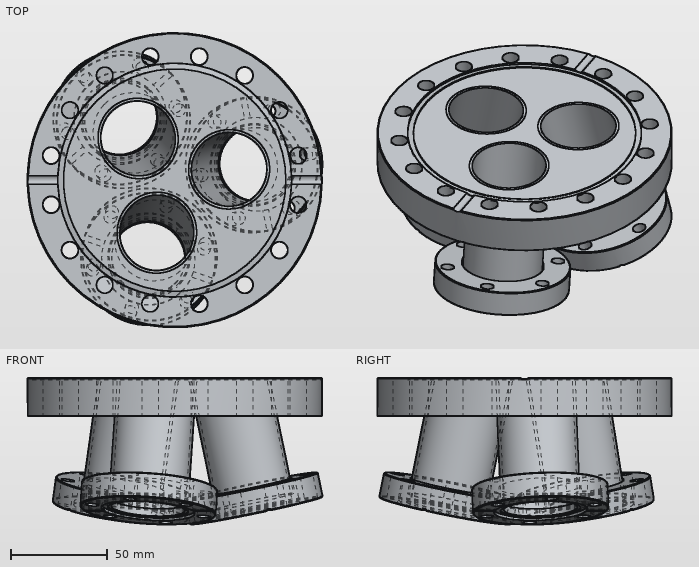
import cadquery as cq
import math

MAIN_DIAMETER = 152.0
MAIN_THICKNESS = 20.0
MAIN_RECESS_DIAMETER = 120.5
MAIN_KNIFE_DIAMETER = 114.6
MAIN_RECESS_DEPTH = 1.0
MAIN_PLATE_DEPTH = 1.0
MAIN_BOLT_CIRCLE = 129.9
MAIN_BOLT_HOLE = 8.5
MAIN_BOLT_COUNT = 16
MAIN_GROOVE_WIDTH = 4.4

PORT_DIAMETER = 70.0
PORT_THICKNESS = 13.0
PORT_RECESS_DIAMETER = 48.3
PORT_KNIFE_DIAMETER = 41.5
PORT_RECESS_DEPTH = 1.7
PORT_PLATE_DEPTH = 1.2
PORT_BOLT_CIRCLE = 58.8
PORT_BOLT_HOLE = 6.7
PORT_BOLT_COUNT = 6
PORT_GROOVE_WIDTH = 3.0

GROOVE_DEPTH = 0.9
KNIFE_TIP_DEPTH = 0.5
RIM_CHAMFER = 0.5

TUBE_OUTER_DIAMETER = 41.0
TUBE_INNER_DIAMETER = 38.0
TUBE_SEAT_DEPTH = 5.0
TUBE_SEAT_DIAMETER = 42.5

PORT_COUNT = 3
FIRST_PORT_ANGLE = 180 / MAIN_BOLT_COUNT
PORT_TILT = math.radians(12)
PORT_RADIUS = 43.0
PORT_DEPTH = 68.5
PORT_LENGTH = PORT_DEPTH / math.cos(PORT_TILT)

PORT_ANGLES = [FIRST_PORT_ANGLE + i * 360 / PORT_COUNT for i in range(PORT_COUNT)]


def flange_blank(diameter, thickness, recess_diameter, recess_depth, knife_diameter, plate_depth):
    """Chamfered disc under Z = 0 with a gasket recess and a raised knife edge inside it."""
    rim = diameter / 2
    recess = recess_diameter / 2
    knife = knife_diameter / 2
    return (
        cq.Workplane("XZ")
        .moveTo(0, -thickness)
        .lineTo(rim - RIM_CHAMFER, -thickness)
        .lineTo(rim, -thickness + RIM_CHAMFER)
        .lineTo(rim, -RIM_CHAMFER)
        .lineTo(rim - RIM_CHAMFER, 0)
        .lineTo(recess, 0)
        .lineTo(recess, -recess_depth)
        .lineTo(knife, -KNIFE_TIP_DEPTH)
        .lineTo(knife, -plate_depth)
        .lineTo(0, -plate_depth)
        .close()
        .revolve(360, (0, 0, 0), (0, 1, 0))
    )


def bolt_holes(circle_diameter, hole_diameter, count, thickness):
    """Through holes spaced evenly, with the X axis midway between two of them."""
    return (
        cq.Workplane("XY")
        .polarArray(circle_diameter / 2, 180 / count, 360, count)
        .circle(hole_diameter / 2)
        .extrude(-thickness)
    )


def leak_check_grooves(width, diameter, recess_diameter):
    """Two round-bottomed grooves along X, from the gasket recess out through the rim."""
    groove_radius = (width ** 2 / 4 + GROOVE_DEPTH ** 2) / (2 * GROOVE_DEPTH)
    rod = (
        cq.Workplane("YZ")
        .center(0, groove_radius - GROOVE_DEPTH)
        .circle(groove_radius)
        .extrude(diameter / 2, both=True)
    )
    recess_core = (
        cq.Workplane("XY")
        .circle(recess_diameter / 2)
        .extrude(2 * groove_radius, both=True)
    )
    return rod.cut(recess_core)


def tube_cylinder(diameter, start_depth):
    """Cylinder on the port axis, from a depth behind the port sealing face to past the main flange."""
    return (
        cq.Workplane("XY", origin=(0, 0, -start_depth))
        .circle(diameter / 2)
        .extrude(-(PORT_LENGTH + MAIN_THICKNESS - start_depth))
    )


def place_port(body, angle):
    """Move a body from the port frame (sealing face at Z = 0, facing +Z) to its port."""
    port_plane = cq.Plane(
        origin=(PORT_RADIUS, 0, -PORT_DEPTH),
        xDir=(0, 1, 0),
        normal=(math.sin(PORT_TILT), 0, -math.cos(PORT_TILT)),
    )
    placed = body.val().moved(cq.Location(port_plane))
    return cq.Workplane(placed).rotate((0, 0, 0), (0, 0, 1), angle)


def make_main_flange():
    flange = flange_blank(
        MAIN_DIAMETER, MAIN_THICKNESS,
        MAIN_RECESS_DIAMETER, MAIN_RECESS_DEPTH,
        MAIN_KNIFE_DIAMETER, MAIN_PLATE_DEPTH,
    )
    flange = flange.cut(bolt_holes(MAIN_BOLT_CIRCLE, MAIN_BOLT_HOLE, MAIN_BOLT_COUNT, MAIN_THICKNESS))
    flange = flange.cut(leak_check_grooves(MAIN_GROOVE_WIDTH, MAIN_DIAMETER, MAIN_RECESS_DIAMETER))
    for angle in PORT_ANGLES:
        flange = flange.cut(place_port(tube_cylinder(TUBE_OUTER_DIAMETER, TUBE_SEAT_DEPTH), angle))
    return flange


def make_port_flange(angle):
    flange = flange_blank(
        PORT_DIAMETER, PORT_THICKNESS,
        PORT_RECESS_DIAMETER, PORT_RECESS_DEPTH,
        PORT_KNIFE_DIAMETER, PORT_PLATE_DEPTH,
    )
    flange = flange.cut(bolt_holes(PORT_BOLT_CIRCLE, PORT_BOLT_HOLE, PORT_BOLT_COUNT, PORT_THICKNESS))
    flange = flange.cut(leak_check_grooves(PORT_GROOVE_WIDTH, PORT_DIAMETER, PORT_RECESS_DIAMETER))
    flange = flange.cut(tube_cylinder(TUBE_INNER_DIAMETER, 0))
    flange = flange.cut(tube_cylinder(TUBE_SEAT_DIAMETER, TUBE_SEAT_DEPTH))
    return place_port(flange, angle)


def make_tube(angle):
    """Tube seated in the port flange and trimmed flush with the plate of the main flange."""
    tube = tube_cylinder(TUBE_OUTER_DIAMETER, TUBE_SEAT_DEPTH)
    tube = tube.cut(tube_cylinder(TUBE_INNER_DIAMETER, TUBE_SEAT_DEPTH))
    above_plate = (
        cq.Workplane("XY", origin=(0, 0, -MAIN_PLATE_DEPTH))
        .circle(MAIN_DIAMETER / 2)
        .extrude(2 * MAIN_THICKNESS)
    )
    return place_port(tube, angle).cut(above_plate)


main_flange = make_main_flange()
port_flanges = [make_port_flange(angle) for angle in PORT_ANGLES]
tubes = [make_tube(angle) for angle in PORT_ANGLES]

result = cq.Compound.makeCompound(
    [main_flange.val()]
    + [flange.val() for flange in port_flanges]
    + [tube.val() for tube in tubes]
)